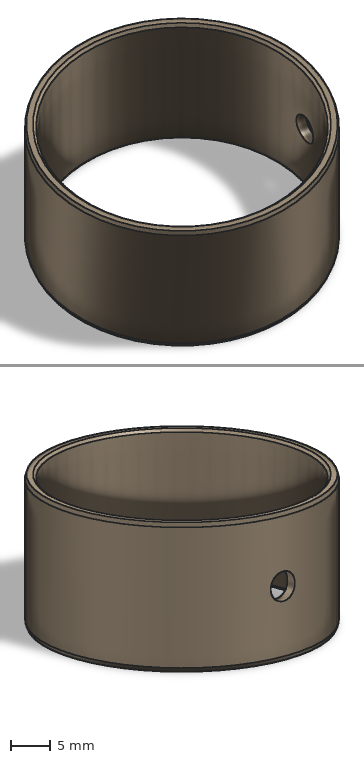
import math

import cadquery as cq

outer_diameter = 40.0
bore_diameter = 37.1
height = 20.0
outer_chamfer_height = 0.6
outer_chamfer_angle = 20.0
bore_chamfer = 0.4
hole_diameter = 4.0

outer_radius = outer_diameter / 2
bore_radius = bore_diameter / 2
half_height = height / 2
outer_chamfer_width = outer_chamfer_height * math.tan(math.radians(outer_chamfer_angle))


def make_ring():
    """Revolve the chamfered wall section about Z, centred on the origin."""
    end_outer_radius = outer_radius - outer_chamfer_width
    end_bore_radius = bore_radius + bore_chamfer
    outer_edge_z = half_height - outer_chamfer_height
    bore_edge_z = half_height - bore_chamfer
    wall_section = [
        (bore_radius, -bore_edge_z),
        (end_bore_radius, -half_height),
        (end_outer_radius, -half_height),
        (outer_radius, -outer_edge_z),
        (outer_radius, outer_edge_z),
        (end_outer_radius, half_height),
        (end_bore_radius, half_height),
        (bore_radius, bore_edge_z),
    ]
    section = cq.Workplane("XZ").polyline(wall_section).close()
    return section.revolve(360, (0, 0, 0), (0, 1, 0))


def make_hole_cutter():
    """Pin from the ring axis out along +Y, piercing only that wall at mid height."""
    return cq.Workplane("XZ").circle(hole_diameter / 2).extrude(-outer_diameter)


result = make_ring().cut(make_hole_cutter())